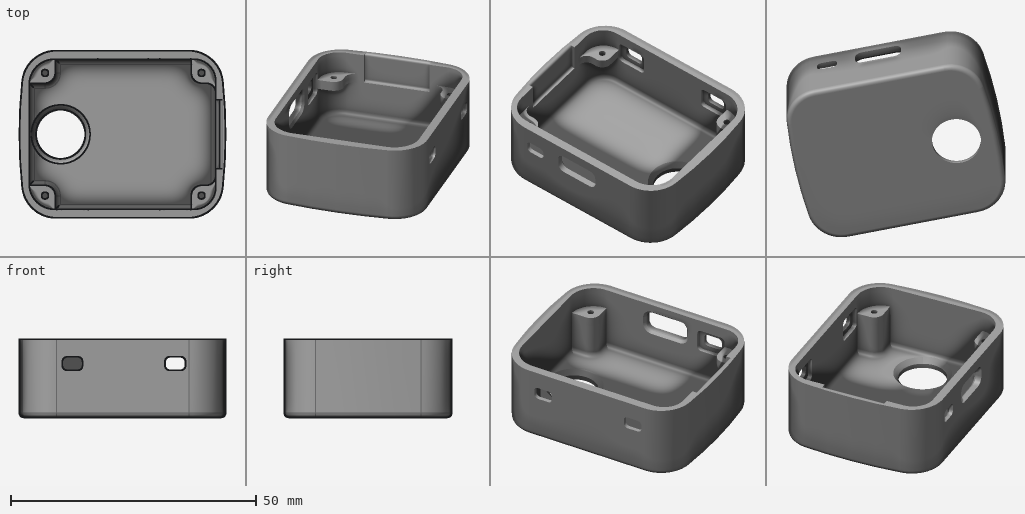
import cadquery as cq
import math

length = 42.05
width = 34.13
height = 16.0
wall = 1.75
floor = 2.0
corner_radius = 7.0
corner_start_x = 13.5
bottom_round = 1.0

cavity_length = 38.06
cavity_width = width - 2 * wall
cavity_left_radius = corner_radius - wall
cavity_right_radius = 4.5
cavity_floor_round = 1.0

hole_centre_x = 0.15
hole_pitch_x = 31.9
hole_pitch_y = 25.0
screw_hole_diameter = 1.4
tab_radius = 2.08
tab_flare_radius = 2.0
tab_top = 11.5
tab_thickness = 2.0
tab_bottom = tab_top - tab_thickness

lens_x = -12.6
lens_diameter = 10.0
lens_chamfer = 1.0

slot_length = 4.1
slot_height = 2.7
slot_corner_radius = 0.9
slot_left_x = -10.2
slot_right_x = 10.75
slot_z = 11.0
slot_pocket_margin = 1.15
slot_pocket_depth = 0.9
slot_pocket_radius = 0.9

port_length = 9.5
port_height = 4.5
port_x = 0.12
port_z = 11.5
port_corner_radius = 1.5
port_chamfer = 0.5

recess_width = 14.0
recess_depth = 0.75
recess_bottom = 9.8
recess_round = 0.5

half_length = length / 2
half_width = width / 2
cavity_end = cavity_length / 2
cavity_side = cavity_width / 2
tab_edge_y = hole_pitch_y / 2 - tab_radius


def housing_outline():
    """Flat long sides, bowed ends and corner arcs tangent to both."""
    corner_y = half_width - corner_radius
    offset = corner_start_x - half_length
    bow_radius = (corner_radius**2 - offset**2 - corner_y**2) / (2 * (offset + corner_radius))
    bow_centre_x = half_length - bow_radius
    join_angle = math.atan2(corner_y, corner_start_x - bow_centre_x)
    join_x = bow_centre_x + bow_radius * math.cos(join_angle)
    join_y = bow_radius * math.sin(join_angle)
    middle_angle = (join_angle + math.pi / 2) / 2
    middle_x = corner_start_x + corner_radius * math.cos(middle_angle)
    middle_y = corner_y + corner_radius * math.sin(middle_angle)
    return (
        cq.Workplane("XY")
        .moveTo(-corner_start_x, half_width)
        .lineTo(corner_start_x, half_width)
        .threePointArc((middle_x, middle_y), (join_x, join_y))
        .threePointArc((half_length, 0), (join_x, -join_y))
        .threePointArc((middle_x, -middle_y), (corner_start_x, -half_width))
        .lineTo(-corner_start_x, -half_width)
        .threePointArc((-middle_x, -middle_y), (-join_x, -join_y))
        .threePointArc((-half_length, 0), (-join_x, join_y))
        .threePointArc((-middle_x, middle_y), (-corner_start_x, half_width))
        .close()
    )


def rounded_bar(size_x, size_z, radius, x, z, y_start, y_end):
    """Rounded rectangle in XZ, running along Y."""
    return (
        cq.Workplane("XY")
        .box(size_x, y_end - y_start, size_z)
        .edges("|Y")
        .fillet(radius)
        .translate((x, (y_start + y_end) / 2, z))
    )


def cavity_prism(bottom, top):
    """Cavity slice that is rounded at the +X end and still square at the -X end."""
    return (
        cq.Workplane("XY")
        .box(cavity_length, cavity_width, top - bottom, centered=(True, True, False))
        .edges("|Z and >X")
        .fillet(cavity_right_radius)
        .translate((0, 0, bottom))
    )


def rounded_cavity_prism(bottom, top):
    return cavity_prism(bottom, top).edges("|Z and <X").fillet(cavity_left_radius)


def corner_block(side_x, side_y, bottom, top):
    """Block over one cavity corner, rounded around the screw hole on its inner edge."""
    edge_x = hole_centre_x + side_x * (hole_pitch_x / 2 - tab_radius)
    edge_y = side_y * tab_edge_y
    far_x = side_x * half_length
    far_y = side_y * half_width
    size_x = abs(far_x - edge_x)
    size_y = abs(far_y - edge_y)
    inner_edge = cq.selectors.NearestToPointSelector((edge_x, edge_y, (bottom + top) / 2))
    return (
        cq.Workplane("XY")
        .box(size_x, size_y, top - bottom)
        .translate(((far_x + edge_x) / 2, (far_y + edge_y) / 2, (bottom + top) / 2))
        .edges(inner_edge)
        .fillet(tab_radius)
    )


def wall_flare(side_y):
    """Concave web between an overhanging tab and the +X wall."""
    edge_y = side_y * tab_edge_y
    centre_x = cavity_end - tab_flare_radius
    centre_y = edge_y - side_y * tab_flare_radius
    diagonal = tab_flare_radius * math.sqrt(0.5)
    return (
        cq.Workplane("XY", origin=(0, 0, tab_bottom))
        .moveTo(centre_x, edge_y)
        .threePointArc((centre_x + diagonal, centre_y + side_y * diagonal), (cavity_end, centre_y))
        .lineTo(cavity_end, edge_y)
        .close()
        .extrude(tab_thickness)
    )


def mounting_tab(side_x, side_y):
    tab = corner_block(side_x, side_y, tab_bottom, tab_top)
    tab = tab.intersect(rounded_cavity_prism(tab_bottom, tab_top))
    if side_x > 0:
        tab = tab.union(wall_flare(side_y))
    hole = (
        cq.Workplane("XY", origin=(0, 0, tab_bottom))
        .center(hole_centre_x + side_x * hole_pitch_x / 2, side_y * hole_pitch_y / 2)
        .circle(screw_hole_diameter / 2)
        .extrude(tab_thickness)
    )
    return tab.cut(hole)


def cavity():
    """Rounded-floor cavity that leaves a pillar standing in each -X corner."""
    lower = cavity_prism(floor, tab_bottom)
    for side_y in (-1, 1):
        lower = lower.cut(corner_block(-1, side_y, 0, height))
    lower = lower.faces("<Z").edges().fillet(cavity_floor_round)
    return lower.union(rounded_cavity_prism(tab_bottom, height))


def cut_lens_opening(body):
    """Hole through the floor, chamfered around its upper edge."""
    hole = cq.Workplane("XY").center(lens_x, 0).circle(lens_diameter / 2).extrude(floor)
    upper_edge = cq.selectors.BoxSelector(
        (lens_x - lens_diameter, -lens_diameter, floor - lens_chamfer / 2),
        (lens_x + lens_diameter, lens_diameter, floor + lens_chamfer / 2),
    )
    return body.cut(hole).edges("%CIRCLE").edges(upper_edge).chamfer(lens_chamfer)


def slot_opening(x, side_y):
    """Slot through one long wall together with its inside pocket."""
    inner, outer = sorted((side_y * cavity_side, side_y * half_width))
    slot = rounded_bar(slot_length, slot_height, slot_corner_radius, x, slot_z, inner, outer)
    pocket_start, pocket_end = sorted((side_y * cavity_side, side_y * (cavity_side + slot_pocket_depth)))
    pocket = rounded_bar(
        slot_length + 2 * slot_pocket_margin,
        slot_height + 2 * slot_pocket_margin,
        slot_pocket_radius,
        x,
        slot_z,
        pocket_start,
        pocket_end,
    )
    return slot.union(pocket)


def cut_port_opening(body):
    """Connector opening through the back wall, chamfered around its inside edge."""
    opening = rounded_bar(
        port_length, port_height, port_corner_radius, port_x, port_z, cavity_side, half_width
    )
    reach_x = port_length / 2 + port_chamfer
    reach_z = port_height / 2 + port_chamfer
    inside_edge = cq.selectors.BoxSelector(
        (port_x - reach_x, cavity_side - port_chamfer, port_z - reach_z),
        (port_x + reach_x, cavity_side + port_chamfer, port_z + reach_z),
    )
    return body.cut(opening).edges(inside_edge).chamfer(port_chamfer)


def end_recess():
    """Recess with a filleted foot and a rounded upper lip."""
    back_x = cavity_end + recess_depth
    arc_inset = recess_round * (1 - math.sqrt(0.5))
    return (
        cq.Workplane("XZ", origin=(0, recess_width / 2, 0))
        .moveTo(cavity_end, recess_bottom)
        .lineTo(back_x - recess_round, recess_bottom)
        .threePointArc(
            (back_x - arc_inset, recess_bottom + arc_inset), (back_x, recess_bottom + recess_round)
        )
        .lineTo(back_x, height - recess_round)
        .threePointArc((back_x + arc_inset, height - arc_inset), (back_x + recess_round, height))
        .lineTo(cavity_end, height)
        .close()
        .extrude(recess_width)
    )


housing = housing_outline().extrude(height).faces("<Z").edges().fillet(bottom_round)
housing = cut_lens_opening(housing.cut(cavity()))
housing = cut_port_opening(housing)
housing = housing.cut(end_recess())
for slot_x, slot_side in ((slot_left_x, -1), (slot_right_x, -1), (slot_right_x, 1)):
    housing = housing.cut(slot_opening(slot_x, slot_side))

tabs = [mounting_tab(side_x, side_y) for side_x in (-1, 1) for side_y in (-1, 1)]

result = cq.Compound.makeCompound([housing.val(), *[tab.val() for tab in tabs]])